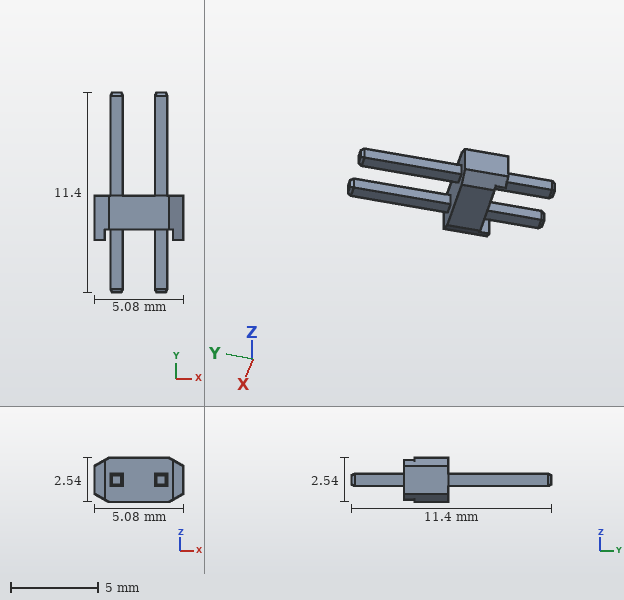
import cadquery as cq

pitch = 2.54
pin_count = 2

housing_length = pin_count * pitch
housing_height = 2.54
housing_depth = 2.54
corner_run = 0.825
corner_drop = 0.47
lip_width = 0.6
recess_depth = 0.6
front_y = -housing_depth / 2
back_y = housing_depth / 2

pin_size = 0.72
front_reach = 3.0
back_reach = 5.9
tip_length = 0.2
tip_inset = 0.1


def make_housing():
    """Bevelled block with a recess across the front between two end lips."""
    half_length = housing_length / 2
    half_height = housing_height / 2
    flat_x = half_length - corner_run
    flat_z = half_height - corner_drop
    outline = [
        (-half_length, -flat_z),
        (-flat_x, -half_height),
        (flat_x, -half_height),
        (half_length, -flat_z),
        (half_length, flat_z),
        (flat_x, half_height),
        (-flat_x, half_height),
        (-half_length, flat_z),
    ]
    block = (
        cq.Workplane("XZ", origin=(0, back_y, 0))
        .polyline(outline)
        .close()
        .extrude(housing_depth)
    )
    recess_length = housing_length - 2 * lip_width
    recess_center_y = front_y + recess_depth / 2
    recess = (
        cq.Workplane("XY", origin=(0, recess_center_y, 0))
        .box(recess_length, recess_depth, housing_height)
    )
    return block.cut(recess)


def make_tip(base_y, end_y):
    """Square tip narrowing equally on all four sides from base_y to end_y."""
    end_size = pin_size - 2 * tip_inset
    return (
        cq.Workplane("XZ", origin=(0, base_y, 0))
        .rect(pin_size, pin_size)
        .workplane(offset=base_y - end_y)
        .rect(end_size, end_size)
        .loft(ruled=True)
    )


def make_pin(x):
    """Square pin with a tapered tip at each end."""
    front_end = front_y - front_reach
    back_end = back_y + back_reach
    shank_front = front_end + tip_length
    shank_back = back_end - tip_length
    shank = (
        cq.Workplane("XZ", origin=(0, shank_back, 0))
        .rect(pin_size, pin_size)
        .extrude(shank_back - shank_front)
    )
    front_tip = make_tip(shank_front, front_end)
    back_tip = make_tip(shank_back, back_end)
    return shank.union(front_tip).union(back_tip).translate((x, 0, 0))


result = make_housing()
for index in range(pin_count):
    pin_x = (index - (pin_count - 1) / 2) * pitch
    result = result.union(make_pin(pin_x))